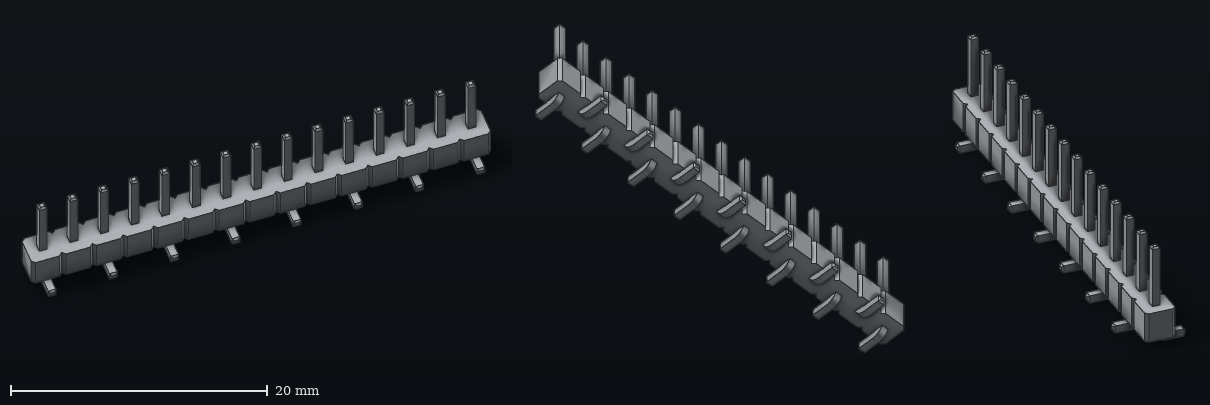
import cadquery as cq


pin_count = 15
length = 38.1
pitch = length / pin_count
body_width = 2.6
body_height = 2.55
body_bottom = 0.72
corner_cut = 0.25

pin_size = 0.65
overall_height = 8.55
tip_cut = 0.15

foot_span = 5.0
foot_reach = foot_span / 2
bend_start = 0.85


def pin_y(index):
    """Y position of a pin, counted from the -Y end."""
    return (index - (pin_count - 1) / 2) * pitch


def make_body():
    """One chamfered block per pin; neighbouring chamfers form the score notches."""
    body = cq.Workplane("XY")
    for index in range(pin_count):
        block = (
            cq.Workplane("XY")
            .box(body_width, pitch, body_height, centered=(True, True, False))
            .edges("|Z")
            .chamfer(corner_cut)
            .translate((0, pin_y(index), body_bottom))
        )
        body = body.union(block)
    return body


def make_post():
    """Straight upper length of a pin, with a bevelled tip."""
    return (
        cq.Workplane("XY")
        .workplane(offset=body_bottom)
        .rect(pin_size, pin_size)
        .extrude(overall_height - body_bottom)
        .faces(">Z")
        .chamfer(tip_cut)
    )


def make_foot():
    """Lower length of a pin, bent toward +X, with a bevelled end."""
    half = pin_size / 2
    outer_radius = bend_start + half
    inner_radius = outer_radius - pin_size
    return (
        cq.Workplane("XZ")
        .moveTo(foot_reach, 0)
        .lineTo(bend_start, 0)
        .radiusArc((-half, outer_radius), outer_radius)
        .lineTo(half, outer_radius)
        .radiusArc((bend_start, pin_size), -inner_radius)
        .lineTo(foot_reach, pin_size)
        .close()
        .extrude(half, both=True)
        .faces(">X")
        .chamfer(tip_cut)
    )


result = make_body()
pin_right = make_post().union(make_foot())
pin_left = pin_right.rotate((0, 0, 0), (0, 0, 1), 180)
for index in range(pin_count):
    pin = pin_right if index % 2 == 0 else pin_left
    result = result.union(pin.translate((0, pin_y(index), 0)))